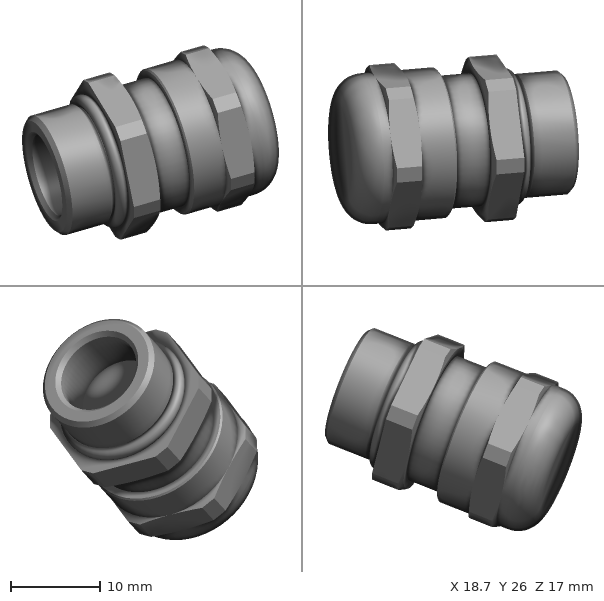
import cadquery as cq

LENGTH = 26.0

SPIGOT_DIAMETER = 14.0
SPIGOT_CHAMFER = 0.5
RING_SEAT_DIAMETER = SPIGOT_DIAMETER - 2 * SPIGOT_CHAMFER
SPIGOT_LENGTH = 5.75

RING_DIAMETER = 15.5
RING_SECTION_RADIUS = 0.75
RING_CENTRE = 6.47

ACROSS_FLATS = 17.0
ACROSS_CORNERS = 18.65
BODY_HEX_START = 7.0
BODY_HEX_END = 10.5
NUT_HEX_START = 18.55
NUT_HEX_END = 22.0

HEX_CONE_RUN = 1.65
HEX_CONE_RISE = 0.57

NECK_DIAMETER = 15.0
NUT_START = 14.5
NUT_EDGE_CHAMFER = 0.18
DOME_RADIUS = 3.0

BORE_DIAMETER = 9.4
BORE_CHAMFER = 0.5
BORE_DEPTH = 5.98


def section_at(y):
    """Workplane across the gland axis at y, extruding towards +Y."""
    return cq.Workplane("ZX", origin=(0, y, 0))


def cylinder(diameter, start, end):
    """Round bar along Y from start to end."""
    return section_at(start).circle(diameter / 2).extrude(end - start)


def hex_prism(across_flats, start, end, turn):
    """Hexagonal bar along Y; at zero turn two of its flats face up and down (+Z and -Z)."""
    return (
        section_at(start)
        .transformed(rotate=(0, 0, turn))
        .polygon(6, across_flats, circumscribed=True)
        .extrude(end - start)
    )


def hexagon(start, end, coned_ends):
    """Hexagon with flattened corners and the chosen ends turned to a cone."""
    prism = hex_prism(ACROSS_FLATS, start, end, 0)
    corner_cut = hex_prism(ACROSS_CORNERS, start, end, 30)
    blank = cylinder(ACROSS_FLATS + 2 * HEX_CONE_RUN, start, end)
    turned = blank.faces(coned_ends).chamfer(HEX_CONE_RISE, HEX_CONE_RUN)
    return prism.intersect(corner_cut).intersect(turned)


def sealing_ring():
    """Torus around the ring seat; its far side sinks into the body hexagon."""
    section_centre = RING_DIAMETER / 2 - RING_SECTION_RADIUS
    return (
        cq.Workplane("XY")
        .center(-section_centre, RING_CENTRE)
        .circle(RING_SECTION_RADIUS)
        .revolve(360, (section_centre, 0), (section_centre, 1))
    )


def dome_nut():
    """Round nut with a domed outer end and a hexagon around its middle."""
    barrel = cylinder(ACROSS_FLATS, NUT_START, LENGTH)
    barrel = barrel.faces("<Y").chamfer(NUT_EDGE_CHAMFER)
    barrel = barrel.faces(">Y").edges().fillet(DOME_RADIUS)
    return barrel.union(hexagon(NUT_HEX_START, NUT_HEX_END, "<Y or >Y"))


def bore():
    """Cutter for the blind bore and its chamfered mouth."""
    mouth_radius = BORE_DIAMETER / 2 + BORE_CHAMFER
    mouth = section_at(0).circle(mouth_radius).extrude(BORE_CHAMFER, taper=45)
    return cylinder(BORE_DIAMETER, 0, BORE_DEPTH).union(mouth)


spigot = cylinder(SPIGOT_DIAMETER, 0, SPIGOT_LENGTH).edges("%CIRCLE").chamfer(SPIGOT_CHAMFER)
ring_seat = cylinder(RING_SEAT_DIAMETER, SPIGOT_LENGTH, BODY_HEX_START)
body_hex = hexagon(BODY_HEX_START, BODY_HEX_END, ">Y")
neck = cylinder(NECK_DIAMETER, BODY_HEX_END, NUT_START)

result = spigot.union(ring_seat).union(body_hex).union(neck)
result = result.union(sealing_ring()).union(dome_nut()).cut(bore())